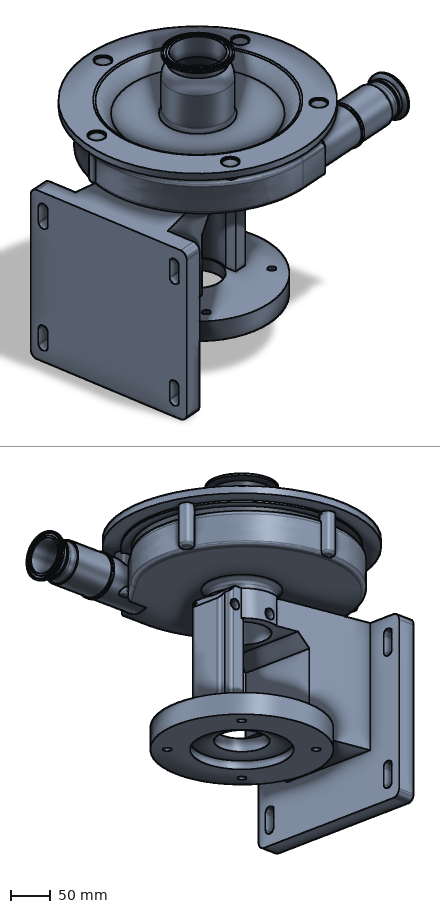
import cadquery as cq
import math

total_height = 411.0

plate_size = 250.0
plate_thickness = 26.0
plate_front_y = -180.0
plate_back_y = plate_front_y + plate_thickness
plate_corner_radius = 10.0
slot_length = 37.0
slot_width = 15.0
slot_spacing_x = 210.0
slot_spacing_z = 180.0

disc_radius = 115.0
disc_bottom = 54.5
disc_thickness = 29.5
disc_top = disc_bottom + disc_thickness
disc_bore_radius = 35.0
disc_spigot_radius = 65.0
disc_spigot_depth = 11.5
disc_hole_count = 4
disc_hole_first_angle = 45.0
disc_hole_diameter = 11.0
disc_hole_circle_radius = 93.5

web_top = plate_size
hub_bottom = 212.5
hub_top = 253.0
hub_radius = 50.0
hub_bore_radius = 37.3
hub_hole_diameter = 15.0
hub_hole_z = 224.0
web_bottom = 77.0
web_inner_y = -63.0
web_inner_half_width = 57.0
web_plate_half_width = 74.0
web_slope = (web_plate_half_width - web_inner_half_width) / (web_inner_y - plate_back_y)
web_axis_half_width = web_inner_half_width + web_slope * web_inner_y
web_haunch_length = 17.0
web_haunch_height = 19.0
relief_top = 105.0
relief_end_y = -84.0
relief_inner_x = 29.0
arm_half_width = 35.0
arm_inner_y = 32.0
arm_back_y = 55.0
rib_half_width = 25.0
rib_back_y = 65.0
arm_edge_radius = 4.5
arm_top_chamfer = 18.0
arm_hole_diameter = 14.0
arm_hole_y = 46.7
arm_hole_z = 228.0

casing_neck_radius = 46.0
casing_neck_flare_radius = 5.0
casing_neck_flare_height = 10.0

volute_bottom = 271.0
volute_ledge = 319.5
collar_radius = 139.0
volute_fillet = 6.0
spiral_end_radius = 168.5
spiral_growth_per_turn = 33.0
spiral_start_angle = 50.0
spiral_spans = 16
outlet_block_end_y = 45.0
rim_radius = 152.0
rim_thickness = 2.5

flange_radius = 175.0
flange_top = 340.0
flange_thickness = 10.0
flange_bottom = flange_top - flange_thickness
recess_edge_radius = 131.5
recess_top_radius = 128.5
recess_edge_depth = 1.0
recess_floor_radius = 109.0
recess_depth = 20.0
recess_floor = flange_top - recess_depth

boss_count = 5
boss_circle_radius = 152.0
boss_radius = 10.0
boss_bottom = 272.5
boss_bottom_fillet = 5.0
boss_first_angle = 36.0
bolt_recess_radius = 11.0
bolt_recess_depth = 3.0
bolt_recess_chamfer = 1.0

inlet_radius = 46.3
inlet_neck_radius = 38.8
inlet_bore_radius = 36.2
inlet_shoulder_z = 375.0
inlet_neck_z = 396.0
inlet_ferrule_radius = 46.0
inlet_root_flare = 2.5
inlet_root_height = 7.5
inlet_bore_neck_z = 381.0
inlet_bore_shoulder_z = 365.0
inlet_wall = 4.0

ferrule_lip = 3.0
ferrule_height = 7.0
groove_width = 3.5
groove_depth = 1.5
groove_inset = 2.5

outlet_z = 297.0
outlet_radius = 29.5
outlet_x = spiral_end_radius - outlet_radius
outlet_end_y = 211.2
outlet_pipe_end_y = 180.6
outlet_collar_radius = 27.7
outlet_collar_end_y = 184.6
outlet_neck_radius = 26.3
outlet_neck_start_y = 191.0
outlet_bead_start_y = 196.0
outlet_bead_end_y = 197.8
outlet_ferrule_radius = 32.3
outlet_bore_radius = 23.5
outlet_weld_y = 120.0
outlet_weld_radius = 31.0
outlet_weld_half_width = 2.0


def cylinder(radius, bottom, top):
    return cq.Workplane("XY").workplane(offset=bottom).circle(radius).extrude(top - bottom)


def bar_along_x(diameter, start_x, end_x, y, z):
    bar = cq.Workplane("YZ").workplane(offset=start_x).center(y, z)
    return bar.circle(diameter / 2).extrude(end_x - start_x)


def make_plate():
    plate = (
        cq.Workplane("XZ", origin=(0, plate_front_y, plate_size / 2))
        .rect(plate_size, plate_size)
        .extrude(-plate_thickness)
        .edges("|Y")
        .fillet(plate_corner_radius)
    )
    slots = (
        cq.Workplane("XZ", origin=(0, plate_front_y, plate_size / 2))
        .rect(slot_spacing_x, slot_spacing_z, forConstruction=True)
        .vertices()
        .slot2D(slot_length, slot_width, 90)
        .extrude(-plate_thickness)
    )
    return plate.cut(slots)


def make_disc():
    disc = cylinder(disc_radius, disc_bottom, disc_top)
    disc = disc.cut(cylinder(disc_bore_radius, disc_bottom, disc_top))
    disc = disc.cut(cylinder(disc_spigot_radius, disc_bottom, disc_bottom + disc_spigot_depth))
    holes = (
        cq.Workplane("XY")
        .workplane(offset=disc_bottom)
        .polarArray(disc_hole_circle_radius, disc_hole_first_angle, 360, disc_hole_count)
        .circle(disc_hole_diameter / 2)
        .extrude(disc_thickness)
    )
    return disc.cut(holes)


def make_web():
    """Solid web, tapered in plan, cut to an arched profile in the YZ plane."""
    plan = (
        cq.Workplane("XY")
        .workplane(offset=web_bottom)
        .moveTo(-web_plate_half_width, plate_back_y)
        .lineTo(web_plate_half_width, plate_back_y)
        .lineTo(web_axis_half_width, 0)
        .lineTo(-web_axis_half_width, 0)
        .close()
        .extrude(web_top - web_bottom)
    )
    profile = (
        cq.Workplane("YZ")
        .workplane(offset=-web_plate_half_width)
        .moveTo(plate_back_y, web_bottom)
        .lineTo(web_inner_y, web_bottom)
        .lineTo(web_inner_y, hub_bottom - web_haunch_height)
        .lineTo(web_inner_y + web_haunch_length, hub_bottom)
        .lineTo(0, hub_bottom)
        .lineTo(0, web_top)
        .lineTo(plate_back_y, web_top)
        .close()
        .extrude(2 * web_plate_half_width)
    )
    web = plan.intersect(profile)
    relief_outer_x = web_inner_half_width + web_slope * (web_inner_y - relief_end_y)
    for side in (-1, 1):
        relief = (
            cq.Workplane("XY")
            .workplane(offset=web_bottom)
            .moveTo(side * relief_outer_x, relief_end_y)
            .lineTo(side * relief_inner_x, web_inner_y)
            .lineTo(side * relief_outer_x, web_inner_y)
            .close()
            .extrude(relief_top - web_bottom)
        )
        web = web.cut(relief)
    return web


def make_arm():
    """Column with a narrower rib on its back, chamfered at the top."""
    height = hub_top - disc_top

    def column(half_width, back_y):
        depth = back_y - arm_inner_y
        block = cq.Workplane("XY").box(2 * half_width, depth, height, centered=(True, False, False))
        block = block.edges("|Z and >Y").fillet(arm_edge_radius)
        return block.translate((0, arm_inner_y, disc_top))

    arm = column(arm_half_width, arm_back_y).union(column(rib_half_width, rib_back_y))
    top_corner = (
        cq.Workplane("YZ")
        .workplane(offset=-arm_half_width)
        .moveTo(rib_back_y, hub_top)
        .lineTo(rib_back_y - arm_top_chamfer, hub_top)
        .lineTo(rib_back_y, hub_top - arm_top_chamfer)
        .close()
        .extrude(2 * arm_half_width)
    )
    return arm.cut(top_corner)


def make_bracket():
    bracket = cylinder(hub_radius, hub_bottom, hub_top).union(make_web()).union(make_arm())
    bracket = bracket.cut(cylinder(hub_bore_radius, disc_top, hub_top))
    bracket = bracket.cut(bar_along_x(hub_hole_diameter, -hub_radius, 0, 0, hub_hole_z))
    arm_hole = bar_along_x(arm_hole_diameter, -arm_half_width, arm_half_width, arm_hole_y, arm_hole_z)
    return bracket.cut(arm_hole)


def make_casing_neck():
    return (
        cq.Workplane("XZ")
        .moveTo(0, hub_top)
        .lineTo(casing_neck_radius, hub_top)
        .lineTo(casing_neck_radius, volute_bottom - casing_neck_flare_height)
        .tangentArcPoint((casing_neck_radius + casing_neck_flare_radius, volute_bottom), relative=False)
        .lineTo(0, volute_bottom)
        .close()
        .revolve(360, (0, 0, 0), (0, 1, 0))
    )


def spiral_outline():
    """Volute outline: a spiral growing counterclockwise into a straight outlet."""
    def spiral_point(turn):
        radius = spiral_end_radius - spiral_growth_per_turn * (1 - turn)
        angle = 2 * math.pi * turn
        return (radius * math.cos(angle), radius * math.sin(angle))

    start_turn = spiral_start_angle / 360
    turns = [start_turn + (1 - start_turn) * i / spiral_spans for i in range(spiral_spans + 1)]
    points = [spiral_point(turn) for turn in turns]
    return (
        cq.Workplane("XY")
        .workplane(offset=volute_bottom)
        .spline(points)
        .lineTo(spiral_end_radius, outlet_block_end_y)
        .close()
    )


def make_volute():
    body = spiral_outline().extrude(volute_ledge - volute_bottom)
    body = body.faces("<Z or >Z").edges().fillet(volute_fillet)
    collar = cylinder(collar_radius, volute_ledge, flange_bottom)
    rim = cylinder(rim_radius, flange_bottom - rim_thickness, flange_bottom)
    return body.union(collar).union(rim)


def make_bosses():
    boss = cylinder(boss_radius, boss_bottom, flange_bottom).faces("<Z").edges().fillet(boss_bottom_fillet)
    bosses = cq.Workplane("XY")
    for i in range(boss_count):
        angle = boss_first_angle + 360 / boss_count * i
        placed = boss.translate((boss_circle_radius, 0, 0)).rotate((0, 0, 0), (0, 0, 1), angle)
        bosses = bosses.union(placed)
    return bosses


def make_cover():
    return cylinder(flange_radius, flange_bottom, flange_top)


def make_recess():
    return (
        cq.Workplane("XZ")
        .moveTo(0, recess_floor)
        .lineTo(recess_floor_radius, recess_floor)
        .lineTo(recess_top_radius, flange_top - recess_edge_depth)
        .lineTo(recess_edge_radius, flange_top)
        .lineTo(0, flange_top)
        .close()
        .revolve(360, (0, 0, 0), (0, 1, 0))
    )


def make_bolt_recesses():
    seats = (
        cq.Workplane("XY")
        .workplane(offset=flange_top - bolt_recess_depth)
        .polarArray(boss_circle_radius, boss_first_angle, 360, boss_count)
        .circle(bolt_recess_radius)
        .extrude(bolt_recess_depth)
    )
    chamfers = (
        cq.Workplane("XY")
        .workplane(offset=flange_top)
        .polarArray(boss_circle_radius, boss_first_angle, 360, boss_count)
        .circle(bolt_recess_radius + bolt_recess_chamfer)
        .extrude(-bolt_recess_chamfer, taper=45)
    )
    return seats.union(chamfers)


def cut_gasket_groove(pipe, ferrule_radius, end):
    """Cut the ring groove in the end face of a pipe that is revolved about Z."""
    outer = ferrule_radius - groove_inset
    groove = cylinder(outer, end - groove_depth, end)
    return pipe.cut(groove.cut(cylinder(outer - groove_width, end - groove_depth, end)))


def make_inlet():
    root_top = recess_floor + inlet_root_height
    root_middle = (inlet_radius + inlet_root_flare / 4, recess_floor + inlet_root_height / 2)
    pipe = (
        cq.Workplane("XZ")
        .moveTo(0, recess_floor)
        .lineTo(inlet_radius + inlet_root_flare, recess_floor)
        .threePointArc(root_middle, (inlet_radius, root_top))
        .lineTo(inlet_radius, inlet_shoulder_z)
        .tangentArcPoint((inlet_neck_radius, inlet_neck_z), relative=False)
        .lineTo(inlet_neck_radius, total_height - ferrule_height)
        .lineTo(inlet_ferrule_radius, total_height - ferrule_lip)
        .lineTo(inlet_ferrule_radius, total_height)
        .lineTo(0, total_height)
        .close()
        .revolve(360, (0, 0, 0), (0, 1, 0))
    )
    return cut_gasket_groove(pipe, inlet_ferrule_radius, total_height)


def make_inlet_bore():
    wide_radius = inlet_radius - inlet_wall
    return (
        cq.Workplane("XZ")
        .moveTo(0, outlet_z)
        .lineTo(wide_radius, outlet_z)
        .lineTo(wide_radius, inlet_bore_shoulder_z)
        .lineTo(inlet_bore_radius, inlet_bore_neck_z)
        .lineTo(inlet_bore_radius, total_height)
        .lineTo(0, total_height)
        .close()
        .revolve(360, (0, 0, 0), (0, 1, 0))
    )


def place_outlet(shape):
    """Turn a shape built along Z so that it runs along +Y on the outlet axis."""
    return shape.rotate((0, 0, 0), (1, 0, 0), -90).translate((outlet_x, 0, outlet_z))


def make_outlet():
    pipe = (
        cq.Workplane("XZ")
        .moveTo(0, outlet_block_end_y)
        .lineTo(outlet_radius, outlet_block_end_y)
        .lineTo(outlet_radius, outlet_pipe_end_y)
        .lineTo(outlet_collar_radius, outlet_pipe_end_y)
        .lineTo(outlet_collar_radius, outlet_collar_end_y)
        .lineTo(outlet_neck_radius, outlet_neck_start_y)
        .lineTo(outlet_neck_radius, outlet_bead_start_y)
        .lineTo(outlet_collar_radius, outlet_bead_start_y)
        .lineTo(outlet_collar_radius, outlet_bead_end_y)
        .lineTo(outlet_neck_radius, outlet_bead_end_y)
        .lineTo(outlet_neck_radius, outlet_end_y - ferrule_height)
        .lineTo(outlet_ferrule_radius, outlet_end_y - ferrule_lip)
        .lineTo(outlet_ferrule_radius, outlet_end_y)
        .lineTo(0, outlet_end_y)
        .close()
        .revolve(360, (0, 0, 0), (0, 1, 0))
    )
    weld_start = outlet_weld_y - outlet_weld_half_width
    weld = cylinder(outlet_weld_radius, weld_start, outlet_weld_y + outlet_weld_half_width)
    return place_outlet(cut_gasket_groove(pipe.union(weld), outlet_ferrule_radius, outlet_end_y))


def make_outlet_bore():
    return place_outlet(cylinder(outlet_bore_radius, 0, outlet_end_y))


casing = make_volute().union(make_bosses()).union(make_cover()).union(make_outlet())
casing = casing.cut(make_recess()).cut(make_bolt_recesses())
casing = casing.union(make_inlet()).cut(make_inlet_bore()).cut(make_outlet_bore())
stand = make_plate().union(make_disc()).union(make_bracket()).union(make_casing_neck())
result = stand.union(casing)